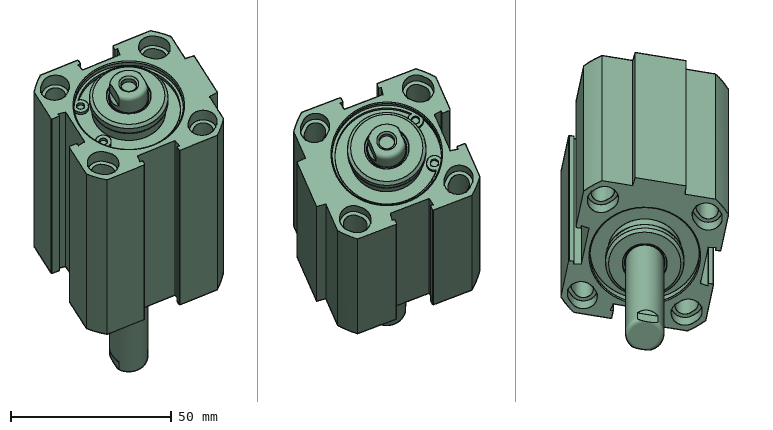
import cadquery as cq

housing_length = 79.7
collar_standoff = 5.0
top_rod_reach = 11.0
rod_length = 141.5

housing_width = 46.0
body_depth = 48.0
rib_height = 3.0
rib_base_width = 16.7
rib_top_width = 16.1
corner_radius = 30.0
side_slot_depth = 4.1
side_slot_lip = 1.7
front_slot_depth = 5.2
front_slot_lip = 2.8
slot_mouth_width = 12.0
slot_chamfer = 0.3
slot_floor_width = 13.0
slot_inner_width = 13.9

mount_x = 16.5
mount_y = 17.4
mount_stretch = 1.3
mount_diagonal = 45
mount_hole_diameter = 6.2
counterbore_diameter = 8.6
counterbore_depth = 5.0

bore_diameter = 34.1
mouth_diameter = 34.8
gland_recess = 3.0
gland_length = 14.2
collar_diameter = 24.5
neck_diameter = 23.0
collar_face_diameter = 22.5
collar_height = 4.4
collar_chamfer_height = 0.8
collar_base_chamfer_height = 1.3
wiper_mouth_diameter = 14.0
wiper_floor_diameter = 13.7
wiper_depth = 0.5
clearance_diameter = 12.6
clearance_depth = 1.1

ring_diameter = 35.8
ring_inner_diameter = 32.3
ring_thickness = 1.1
lug_diameter = 5.0
lug_hole_diameter = 2.5
lug_x = 7.8
lug_y = -12.9

rod_diameter = 12.0
rod_end_fillet = 1.4
flat_width = 10.0
flat_length = 4.7
center_hole_mouth_diameter = 6.2
center_hole_diameter = 5.0
center_hole_chamfer = 0.64
center_hole_depth = 2.3
center_hole_point = 0.21

half_width = housing_width / 2
half_depth = body_depth / 2
rod_top = housing_length + top_rod_reach
rod_bottom = rod_top - rod_length
ring_base = housing_length - gland_recess


def disc(diameter, height, z=0.0):
    """Upright cylinder on the axis with its base at z."""
    return cq.Workplane("XY", origin=(0, 0, z)).circle(diameter / 2).extrude(height)


def slot_cutter(face_distance, slot_depth, slot_lip, angle, chamfer):
    """Undercut groove along Z in the face at the given distance from the axis, turned about Z."""
    floor = -face_distance + slot_depth
    lip = -face_distance + slot_lip
    half_outline = [
        (slot_mouth_width / 2 + chamfer, -face_distance),
        (slot_mouth_width / 2, -face_distance + chamfer),
        (slot_mouth_width / 2, lip),
        (slot_inner_width / 2, lip),
        (slot_floor_width / 2, floor),
    ]
    outline = half_outline + [(-x, y) for x, y in reversed(half_outline)]
    groove = cq.Workplane("XY").polyline(outline).close().extrude(housing_length)
    return groove.rotate((0, 0, 0), (0, 0, 1), angle)


def mounting_holes():
    """Through holes counterbored at both ends, one in each corner."""
    cutters = cq.Workplane("XY")
    for side_x in (-1, 1):
        for side_y in (-1, 1):
            place = cq.Workplane("XY").center(side_x * mount_x, side_y * mount_y)
            angle = -mount_diagonal * side_x * side_y
            hole = place.slot2D(mount_hole_diameter + mount_stretch, mount_hole_diameter, angle)
            cutters = cutters.add(hole.extrude(housing_length))
            for z in (0, housing_length - counterbore_depth):
                wide = place.workplane(offset=z)
                wide = wide.slot2D(counterbore_diameter + mount_stretch, counterbore_diameter, angle)
                cutters = cutters.add(wide.extrude(counterbore_depth))
    return cutters.combine()


def make_housing():
    """Extruded tube with rounded corners, a rib on +Y and undercut slots in the other three sides."""
    body = cq.Workplane("XY").rect(housing_width, body_depth).extrude(housing_length)
    body = body.intersect(disc(2 * corner_radius, housing_length))
    rib = (
        cq.Workplane("XY")
        .polyline([
            (-rib_base_width / 2, half_depth),
            (-rib_top_width / 2, half_depth + rib_height),
            (rib_top_width / 2, half_depth + rib_height),
            (rib_base_width / 2, half_depth),
        ])
        .close()
        .extrude(housing_length)
    )
    body = body.union(rib)
    body = body.cut(slot_cutter(half_depth, front_slot_depth, front_slot_lip, 0, slot_chamfer))
    for angle in (90, -90):
        body = body.cut(slot_cutter(half_width, side_slot_depth, side_slot_lip, angle, slot_chamfer))
    body = body.cut(disc(bore_diameter, housing_length))
    mouth_chamfer = (mouth_diameter - bore_diameter) / 2
    bore_edges = cq.selectors.RadiusNthSelector(0)
    body = body.faces("<Z or >Z").edges("%CIRCLE").edges(bore_edges).chamfer(mouth_chamfer)
    body = body.cut(disc(ring_diameter, ring_thickness, ring_base))
    return body.cut(mounting_holes())


def make_gland():
    """Upper gland: plug in the bore, neck and chamfered collar, stepped mouth around the rod."""
    collar_top = housing_length + collar_standoff
    collar_base = collar_top - collar_height
    half_section = [
        (rod_diameter, ring_base - gland_length),
        (bore_diameter, ring_base - gland_length),
        (bore_diameter, ring_base),
        (neck_diameter, ring_base),
        (neck_diameter, collar_base),
        (collar_diameter, collar_base + collar_base_chamfer_height),
        (collar_diameter, collar_top - collar_chamfer_height),
        (collar_face_diameter, collar_top),
        (wiper_mouth_diameter, collar_top),
        (wiper_floor_diameter, collar_top - wiper_depth),
        (clearance_diameter, collar_top - wiper_depth),
        (clearance_diameter, collar_top - clearance_depth),
        (rod_diameter, collar_top - clearance_depth),
    ]
    outline = [(diameter / 2, z) for diameter, z in half_section]
    return cq.Workplane("XZ").polyline(outline).close().revolve(360, (0, 0), (0, 1))


def make_ring():
    """Open ring with a pierced lug at each end of its gap."""
    ring = disc(ring_diameter, ring_thickness, ring_base)
    ring = ring.cut(disc(ring_inner_diameter, ring_thickness, ring_base))
    gap = (
        cq.Workplane("XY", origin=(0, 0, ring_base))
        .polyline([(0, 0), (2 * lug_x, 2 * lug_y), (-2 * lug_x, 2 * lug_y)])
        .close()
        .extrude(ring_thickness)
    )
    ring = ring.cut(gap)
    lug_places = [(-lug_x, lug_y), (lug_x, lug_y)]
    level = cq.Workplane("XY", origin=(0, 0, ring_base)).pushPoints(lug_places)
    lugs = level.circle(lug_diameter / 2).extrude(ring_thickness)
    lugs = lugs.intersect(disc(bore_diameter, ring_thickness, ring_base))
    holes = level.circle(lug_hole_diameter / 2).extrude(ring_thickness)
    return ring.union(lugs).cut(holes)


def flat_cutter(side, end_z, inward):
    """Wrench flat on one side of a rod end, run out at 45 degrees away from the end."""
    flat = side * flat_width / 2
    surface = side * rod_diameter / 2
    run_out = (rod_diameter - flat_width) / 2
    shoulder = end_z + inward * flat_length
    return (
        cq.Workplane("YZ")
        .polyline([
            (flat, end_z),
            (flat, shoulder),
            (surface, shoulder + inward * run_out),
            (surface, end_z),
        ])
        .close()
        .extrude(rod_diameter / 2, both=True)
    )


def make_rod():
    """Rod through both glands, with wrench flats at each end and a center hole in the top."""
    rod = disc(rod_diameter, rod_length, rod_bottom).faces("<Z or >Z").edges().fillet(rod_end_fillet)
    for side in (-1, 1):
        rod = rod.cut(flat_cutter(side, rod_top, -1))
        rod = rod.cut(flat_cutter(side, rod_bottom, 1))
    hole_radius = center_hole_diameter / 2
    mouth_radius = center_hole_mouth_diameter / 2
    floor = rod_top - center_hole_depth
    center_hole = (
        cq.Workplane("XZ")
        .polyline([
            (0, floor - center_hole_point),
            (hole_radius, floor),
            (hole_radius, rod_top - center_hole_chamfer),
            (mouth_radius, rod_top),
            (0, rod_top),
        ])
        .close()
        .revolve(360, (0, 0), (0, 1))
    )
    return rod.cut(center_hole)


housing = make_housing()
upper_gland = make_gland()
lower_gland = upper_gland.mirror("XY", (0, 0, housing_length / 2))
retaining_ring = make_ring()
rod = make_rod()

bodies = [housing, upper_gland, lower_gland, retaining_ring, rod]
result = cq.Compound.makeCompound([body.val() for body in bodies])